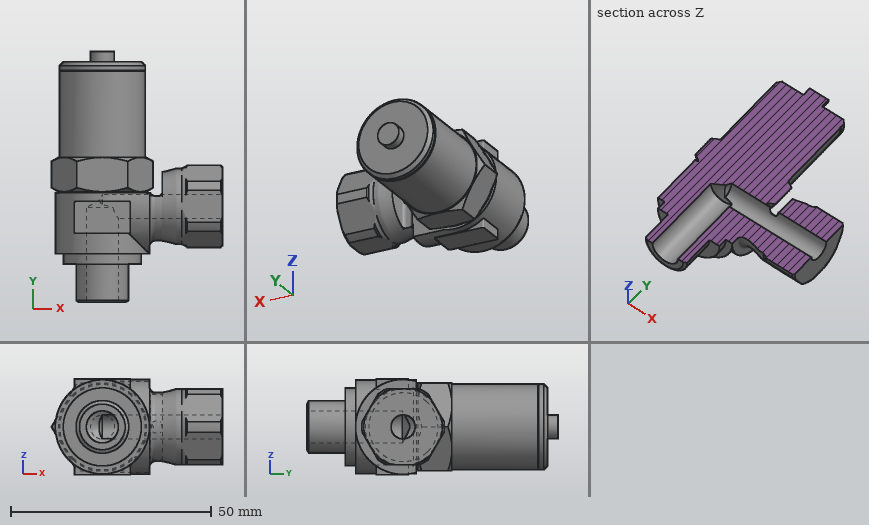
import cadquery as cq
import math


overall_length = 62.69
tip_y = -24.0
thread_end_y = -14.45
flange_end_y = -11.85
body_end_y = 3.35
nut_start_y = 3.65
nut_end_y = 12.2
cap_end_y = 36.1
pin_end_y = tip_y + overall_length

thread_radius = 6.58
thread_tip_radius = 5.7
flange_radius = 9.75
body_radius = 11.75
cap_radius = 10.75
pin_radius = 3.0
collar_radius = 11.0
cap_chamfer = 1.0
groove_y = 33.65
groove_width = 0.25
groove_depth = 0.1

nut_across_flats = 22.0
chamfer_angle = math.radians(30)

pad_length = 14.0
pad_width = 8.0
pad_height = 24.0
pad_center_y = -2.75
pad_corner_radius = 0.4

arm_radius = 11.85
arm_end_x = 11.8
neck_radius = 8.6
neck_fillet = 1.4
shoulder_start_x = 14.93
shoulder_end_x = 18.3
shoulder_radius = 9.5
flare_entry_length = 0.35
flare_entry_rise = 0.02
flare_exit_length = 0.4
flare_exit_rise = 0.05
neck_flat_y = 2.6
relief_fillet = 0.9

swivel_start_x = 19.8
swivel_end_x = 30.0
swivel_across_flats = 2 * shoulder_radius
swivel_root_fillet = 1.5
swivel_cone_angle = math.radians(45)
swivel_corner_radius = 10.3
swivel_end_chamfer = 0.5

main_bore_radius = 4.0
main_bore_end_y = -0.25
side_bore_radius = 3.0
drill_half_angle = math.radians(59)


def revolve_about_y(points):
    """Solid of revolution about Y from (radius, y) points."""
    return cq.Workplane("XY").polyline(points).close().revolve(360, (0, 0, 0), (0, 1, 0))


def revolve_about_x(points):
    """Solid of revolution about X from (x, radius) points."""
    return cq.Workplane("XY").polyline(points).close().revolve(360, (0, 0, 0), (1, 0, 0))


def make_main_column():
    """Threaded stub, flange, body, collar, capped sleeve and pin."""
    tip_chamfer_length = (thread_radius - thread_tip_radius) * math.tan(chamfer_angle)
    groove_floor = cap_radius - groove_depth
    groove_top_y = groove_y + groove_width
    return revolve_about_y([
        (0, tip_y),
        (thread_tip_radius, tip_y),
        (thread_radius, tip_y + tip_chamfer_length),
        (thread_radius, thread_end_y),
        (flange_radius, thread_end_y),
        (flange_radius, flange_end_y),
        (body_radius, flange_end_y),
        (body_radius, body_end_y),
        (collar_radius, body_end_y),
        (collar_radius, nut_start_y),
        (cap_radius, nut_start_y),
        (cap_radius, groove_y),
        (groove_floor, groove_y),
        (groove_floor, groove_top_y),
        (cap_radius, groove_top_y),
        (cap_radius, cap_end_y - cap_chamfer),
        (cap_radius - cap_chamfer, cap_end_y),
        (pin_radius, cap_end_y),
        (pin_radius, pin_end_y),
        (0, pin_end_y),
    ])


def make_body_nut():
    """Hexagon with flats facing +Z and -Z, corners chamfered at both ends."""
    corner_radius = nut_across_flats / 2 / math.cos(math.pi / 6)
    face_radius = nut_across_flats / 2
    chamfer_length = (corner_radius - face_radius) * math.tan(chamfer_angle)
    hexagon = (
        cq.Workplane("XZ", origin=(0, nut_start_y, 0))
        .polygon(6, 2 * corner_radius)
        .extrude(nut_start_y - nut_end_y)
    )
    envelope = revolve_about_y([
        (0, nut_start_y),
        (face_radius, nut_start_y),
        (corner_radius, nut_start_y + chamfer_length),
        (corner_radius, nut_end_y - chamfer_length),
        (face_radius, nut_end_y),
        (0, nut_end_y),
    ])
    return hexagon.intersect(envelope)


def make_pads():
    """Two wrench pads, made as one block passing through the body."""
    return (
        cq.Workplane("XY")
        .center(0, pad_center_y)
        .rect(pad_length, pad_width)
        .extrude(pad_height / 2, both=True)
        .edges("|Z")
        .fillet(pad_corner_radius)
    )


def make_arm_root():
    """Cylinder along the arm axis, cut off level with the end of the body."""
    cylinder = cq.Workplane("YZ").circle(arm_radius).extrude(arm_end_x)
    trim = (
        cq.Workplane("XY")
        .box(2 * arm_end_x, arm_radius, 2 * arm_radius, centered=(True, False, True))
        .translate((0, body_end_y, 0))
    )
    return cylinder.cut(trim)


def make_neck():
    """Filleted neck flaring into the swivel shoulder, relieved beside the body nut."""
    fillet_end_x = arm_end_x + neck_fillet
    fillet_mid_x = fillet_end_x - neck_fillet * math.sin(math.pi / 4)
    fillet_mid_radius = neck_radius + neck_fillet * (1 - math.cos(math.pi / 4))
    flare_start = (shoulder_start_x, neck_radius + flare_entry_rise)
    flare_end = (shoulder_end_x, shoulder_radius - flare_exit_rise)
    entry_angle = 2 * math.atan(flare_entry_rise / flare_entry_length)
    exit_angle = 2 * math.atan(flare_exit_rise / flare_exit_length)
    flare_tangents = [
        (math.cos(entry_angle), math.sin(entry_angle)),
        (math.cos(exit_angle), math.sin(exit_angle)),
    ]
    neck = (
        cq.Workplane("XY")
        .moveTo(0, 0)
        .lineTo(0, neck_radius)
        .lineTo(arm_end_x, neck_radius)
        .lineTo(arm_end_x, neck_radius + neck_fillet)
        .threePointArc((fillet_mid_x, fillet_mid_radius), (fillet_end_x, neck_radius))
        .lineTo(shoulder_start_x - flare_entry_length, neck_radius)
        .tangentArcPoint(flare_start, relative=False)
        .spline([flare_end], tangents=flare_tangents, includeCurrent=True)
        .tangentArcPoint((shoulder_end_x + flare_exit_length, shoulder_radius), relative=False)
        .lineTo(swivel_start_x, shoulder_radius)
        .lineTo(swivel_start_x, 0)
        .close()
        .revolve(360, (0, 0, 0), (1, 0, 0))
    )
    relief = (
        cq.Workplane("XY")
        .box(shoulder_start_x, arm_radius, 2 * arm_radius, centered=(False, False, True))
        .translate((0, neck_flat_y, 0))
        .edges("|Z and >X and <Y")
        .fillet(relief_fillet)
    )
    return neck.cut(relief).union(make_relief_root())


def make_relief_root():
    """Concave strip joining the relief floor to the arm face, no higher than the body end."""
    end_x = arm_end_x + neck_fillet
    arc_center_y = neck_flat_y + neck_fillet
    arc_mid_offset = neck_fillet * math.sin(math.pi / 4)
    strip = (
        cq.Workplane("XY")
        .moveTo(arm_end_x, 0)
        .lineTo(arm_end_x, arc_center_y)
        .threePointArc((end_x - arc_mid_offset, arc_center_y - arc_mid_offset), (end_x, neck_flat_y))
        .lineTo(end_x, 0)
        .close()
        .extrude(neck_radius, both=True)
    )
    limit = cq.Workplane("XY").box(end_x, body_end_y, 2 * arm_radius, centered=(False, False, True))
    round_limit = cq.Workplane("YZ").circle(neck_radius).extrude(end_x)
    return strip.intersect(limit).intersect(round_limit)


def make_swivel_nut():
    """Hexagon with rounded corners, blended into the shoulder and chamfered at the end."""
    hexagon = (
        cq.Workplane("YZ", origin=(swivel_start_x, 0, 0))
        .polygon(6, swivel_across_flats / math.cos(math.pi / 6))
        .extrude(swivel_end_x - swivel_start_x)
    )
    fillet_end_x = swivel_start_x + swivel_root_fillet * math.sin(swivel_cone_angle)
    fillet_end_radius = shoulder_radius + swivel_root_fillet * (1 - math.cos(swivel_cone_angle))
    cone_length = (swivel_corner_radius - fillet_end_radius) / math.tan(swivel_cone_angle)
    fillet_mid_x = swivel_start_x + swivel_root_fillet * math.sin(swivel_cone_angle / 2)
    fillet_mid_radius = shoulder_radius + swivel_root_fillet * (1 - math.cos(swivel_cone_angle / 2))
    envelope = (
        cq.Workplane("XY")
        .moveTo(swivel_start_x, 0)
        .lineTo(swivel_start_x, shoulder_radius)
        .threePointArc((fillet_mid_x, fillet_mid_radius), (fillet_end_x, fillet_end_radius))
        .lineTo(fillet_end_x + cone_length, swivel_corner_radius)
        .lineTo(swivel_end_x - swivel_end_chamfer, swivel_corner_radius)
        .lineTo(swivel_end_x, swivel_corner_radius - swivel_end_chamfer)
        .lineTo(swivel_end_x, 0)
        .close()
        .revolve(360, (0, 0, 0), (1, 0, 0))
    )
    return hexagon.intersect(envelope)


def make_main_bore():
    """Blind drilled hole from the threaded tip, with a conical bottom."""
    cone_length = main_bore_radius / math.tan(drill_half_angle)
    return revolve_about_y([
        (0, tip_y),
        (main_bore_radius, tip_y),
        (main_bore_radius, main_bore_end_y),
        (0, main_bore_end_y + cone_length),
    ])


def make_side_bore():
    """Drilled hole from the end of the arm, reaching the main axis."""
    cone_length = side_bore_radius / math.tan(drill_half_angle)
    return revolve_about_x([
        (-cone_length, 0),
        (0, side_bore_radius),
        (swivel_end_x, side_bore_radius),
        (swivel_end_x, 0),
    ])


result = (
    make_main_column()
    .union(make_body_nut())
    .union(make_pads())
    .union(make_arm_root())
    .union(make_neck())
    .union(make_swivel_nut())
    .cut(make_main_bore())
    .cut(make_side_bore())
)